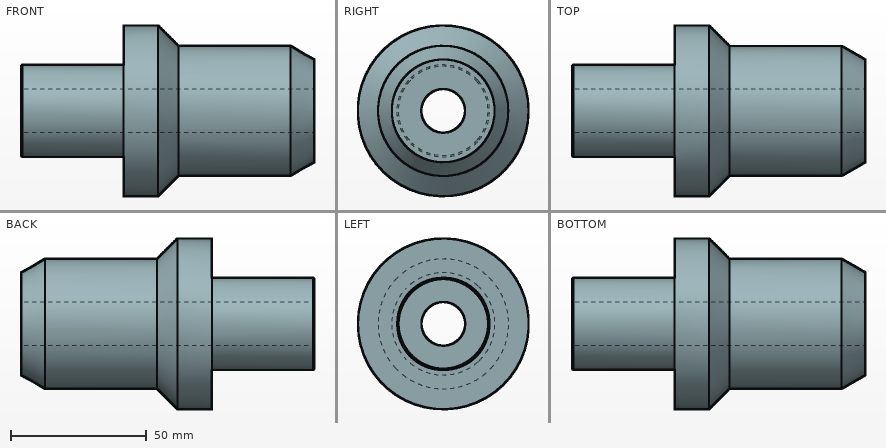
import cadquery as cq
import math

total_length = 108.0
shank_diameter = 34.0
shank_length = 37.8
shank_chamfer = 0.5
flange_diameter = 63.0
flange_thickness = 12.6
body_diameter = 48.0
tip_length = 8.7
tip_half_angle = 30.0
bore_diameter = 16.0

shank_radius = shank_diameter / 2
flange_radius = flange_diameter / 2
body_radius = body_diameter / 2
tip_radius = body_radius - tip_length * math.tan(math.radians(tip_half_angle))

flange_end = shank_length + flange_thickness
cone_end = flange_end + flange_radius - body_radius
tip_start = total_length - tip_length

half_section = [
    (0, 0),
    (0, shank_radius - shank_chamfer),
    (shank_chamfer, shank_radius),
    (shank_length, shank_radius),
    (shank_length, flange_radius),
    (flange_end, flange_radius),
    (cone_end, body_radius),
    (tip_start, body_radius),
    (total_length, tip_radius),
    (total_length, 0),
]
pin = cq.Workplane("XY").polyline(half_section).close().revolve(360, (0, 0, 0), (1, 0, 0))

bore = cq.Workplane("YZ").circle(bore_diameter / 2).extrude(total_length)

result = pin.cut(bore)